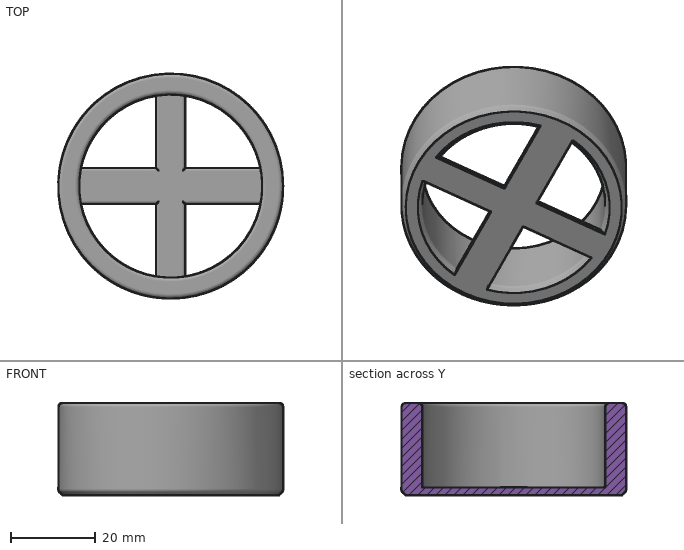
import cadquery as cq

outer_diameter = 53.5
hole_diameter = 43.5
height = 22.0
rim_round = 1.0
base_chamfer = 1.05
bevel_round = 0.8

x_bar_width = 8.6
y_bar_width = 7.0
bar_thickness = 2.0
bar_round = 0.75
bar_length = (outer_diameter + hole_diameter) / 2


def make_ring():
    ring = cq.Workplane("XY").circle(outer_diameter / 2).circle(hole_diameter / 2).extrude(height)
    ring = ring.faces("<Z").edges().chamfer(base_chamfer)
    bevel_corners = cq.selectors.BoxSelector(
        (-outer_diameter, -outer_diameter, base_chamfer / 2),
        (outer_diameter, outer_diameter, base_chamfer * 3 / 2),
    )
    ring = ring.edges("%CIRCLE").edges(bevel_corners).fillet(bevel_round)
    return ring.faces(">Z").edges().fillet(rim_round)


def make_cross():
    from_base = (True, True, False)
    x_bar = cq.Workplane("XY").box(bar_length, x_bar_width, bar_thickness, centered=from_base)
    y_bar = cq.Workplane("XY").box(y_bar_width, bar_length, bar_thickness, centered=from_base)
    return x_bar.union(y_bar).faces(">Z").edges().fillet(bar_round)


result = make_ring().union(make_cross())